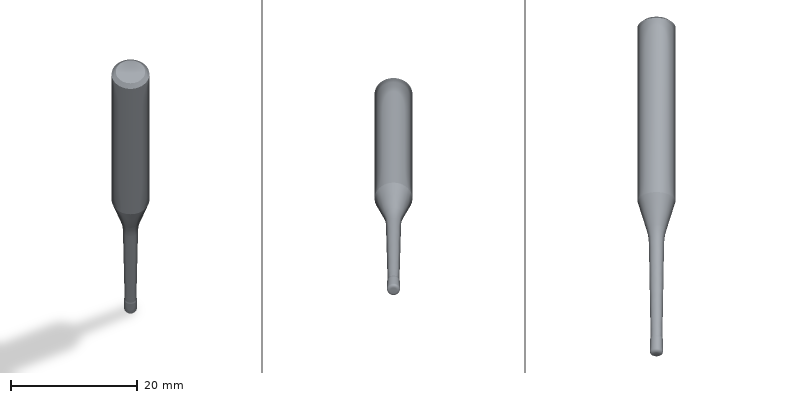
import cadquery as cq
import math

TOTAL_LENGTH = 60.0
SHANK_RADIUS = 3.0
SHANK_BOTTOM = 27.8
TOP_CHAMFER_HEIGHT = 0.6
TOP_CHAMFER_WIDTH = 0.65

BLEND_BOTTOM = 20.05
BLEND_TOP = 22.55
CONE_ANGLE = math.radians(15.5)

RELIEF_RADIUS = 0.95
RELIEF_TOP = 4.3
RELIEF_BOTTOM = 3.0

CUTTER_RADIUS = 1.0
CUTTER_LENGTH = 2.7
CORNER_RADIUS = 0.5

blend_radius = (BLEND_TOP - BLEND_BOTTOM) / math.sin(CONE_ANGLE)
cone_small_radius = SHANK_RADIUS - (SHANK_BOTTOM - BLEND_TOP) * math.tan(CONE_ANGLE)
neck_top_radius = cone_small_radius - blend_radius * (1 - math.cos(CONE_ANGLE))
blend_mid = (
    neck_top_radius + blend_radius * (1 - math.cos(CONE_ANGLE / 2)),
    BLEND_BOTTOM + blend_radius * math.sin(CONE_ANGLE / 2),
)


def revolve_about_z(profile):
    """Close a radius-height half profile and turn it fully around the Z axis."""
    return profile.close().revolve(360, (0, 0, 0), (0, 1, 0))


def make_shank():
    """Shank, cone, neck and relief, down to the flat top of the cutter."""
    profile = (
        cq.Workplane("XZ")
        .moveTo(0, CUTTER_LENGTH)
        .lineTo(CUTTER_RADIUS, CUTTER_LENGTH)
        .lineTo(RELIEF_RADIUS, RELIEF_BOTTOM)
        .lineTo(RELIEF_RADIUS, RELIEF_TOP)
        .lineTo(neck_top_radius, BLEND_BOTTOM)
        .threePointArc(blend_mid, (cone_small_radius, BLEND_TOP))
        .lineTo(SHANK_RADIUS, SHANK_BOTTOM)
        .lineTo(SHANK_RADIUS, TOTAL_LENGTH - TOP_CHAMFER_HEIGHT)
        .lineTo(SHANK_RADIUS - TOP_CHAMFER_WIDTH, TOTAL_LENGTH)
        .lineTo(0, TOTAL_LENGTH)
    )
    return revolve_about_z(profile)


def make_cutter():
    """Cylindrical cutting tip with a rounded bottom corner."""
    corner_diagonal = CORNER_RADIUS * math.sqrt(0.5)
    corner_center_radius = CUTTER_RADIUS - CORNER_RADIUS
    corner_mid = (corner_center_radius + corner_diagonal, CORNER_RADIUS - corner_diagonal)
    profile = (
        cq.Workplane("XZ")
        .lineTo(corner_center_radius, 0)
        .threePointArc(corner_mid, (CUTTER_RADIUS, CORNER_RADIUS))
        .lineTo(CUTTER_RADIUS, CUTTER_LENGTH)
        .lineTo(0, CUTTER_LENGTH)
    )
    return revolve_about_z(profile)


shank = make_shank()
cutter = make_cutter()

result = cq.Compound.makeCompound([shank.val(), cutter.val()])